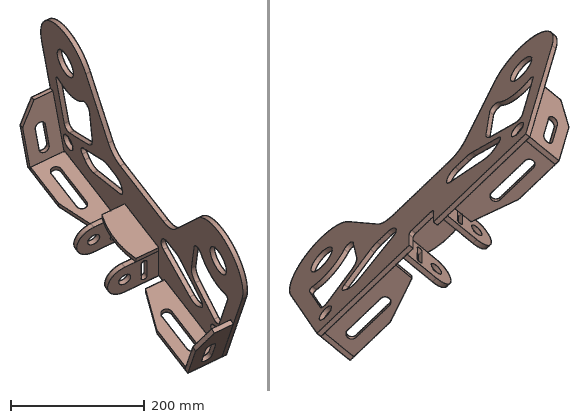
import cadquery as cq
import math

sheet = 8.0
overall_width = 583.0
overall_depth = 98.0
foot_half_width = 231.0

lobe_radius = 71.0
lobe_x = overall_width / 2 - lobe_radius
lobe_z = 222.0
lobe_hole_radius = 23.5

valley_z = 146.0
valley_radius = 41.0
valley_flat_half = 62.5

small_hole_x = 212.0
small_hole_z = 39.5
small_hole_radius = 13.5
notch_half_width = 27.0
notch_height = 40.0
notch_radius = 6.0
window_arc_radius = 62.5
window_tip = (161.5, 179.0)
window_shoulder = (242.0, 158.0)
window_foot_corner = (213.5, 76.5, 10.5)
window_inner_corner = (166.0, 118.0, 23.5)
lower_window_corners = [
    (148.0, 68.0, 24.5),
    (165.0, 63.5, 10.0),
    (98.0, 79.5, 29.0),
    (75.0, 89.0, 19.0),
    (66.0, 87.0, 10.0),
]

clevis_half_width = 49.0
lug_height = 60.0
lug_radius = lug_height / 2
lug_thickness = 9.0
lug_eye_depth = overall_depth - sheet - lug_radius
lug_eye_radius = 10.5
lug_slot_width = 10.0
lug_slot_length = 44.5
lug_slot_depth = 25.5
lug_slot_z = 30.5
cover_edge_depth = 40.0
cover_middle_depth = 48.0

flange_depth = lug_eye_depth
flange_end_depth = 33.0
side_flange_length = 120.0
side_flange_straight = 80.5
foot_flange_end_x = 65.5
foot_flange_chamfer_x = 141.5
slot_width = 17.5
slot_depth = 31.0
side_slot_length = 57.0
side_slot_centre = 46.5
foot_slot_length = 91.0
foot_slot_x = 159.0

foot_to_lobe = math.hypot(foot_half_width - lobe_x, lobe_z)
lean = math.asin(lobe_radius / foot_to_lobe) - math.atan2(foot_half_width - lobe_x, lobe_z)
side_reach = sheet / math.cos(lean)


def belt(circles, thickness):
    """Extrude, from Y = 0 to +Y, the outline that runs counter-clockwise round (x, z, radius) circles.

    Neighbouring circles are joined by their common tangent. A negative radius is passed on the
    outside, which makes a hollow, and a zero radius is a sharp corner.
    """
    def point(circle, heading):
        x, z, radius = circle
        return (x + radius * math.sin(heading), z - radius * math.cos(heading))

    headings = []
    for start, end in zip(circles, circles[1:] + circles[:1]):
        dx = end[0] - start[0]
        dz = end[1] - start[1]
        rise = (end[2] - start[2]) / math.hypot(dx, dz)
        headings.append(math.atan2(dz, dx) - math.asin(max(-1.0, min(1.0, rise))))

    touching = 5.83e-05
    position = point(circles[0], headings[-1])
    outline = cq.Workplane("XZ").moveTo(*position)
    for index, circle in enumerate(circles):
        entry = headings[index - 1]
        leave = headings[index]
        arrival = point(circle, entry)
        if math.dist(position, arrival) > touching:
            outline = outline.lineTo(*arrival)
        position = arrival
        if circle[2] != 0:
            turn = (leave - entry) % math.tau
            if circle[2] < 0:
                turn -= math.tau
            position = point(circle, leave)
            outline = outline.threePointArc(point(circle, entry + turn / 2), position)
    return outline.close().extrude(-thickness)


def mirrored(body):
    return body.mirror("YZ")


def upper_window():
    """Opening under the right lobe, bounded above by an arc concentric with the lobe."""
    lobe_centre = (lobe_x, lobe_z)
    tip_radius = math.dist(window_tip, lobe_centre) - window_arc_radius
    shoulder_radius = math.dist(window_shoulder, lobe_centre) - window_arc_radius
    return belt([
        window_foot_corner,
        (*window_shoulder, shoulder_radius),
        (*lobe_centre, -window_arc_radius),
        (*window_tip, tip_radius),
        window_inner_corner,
    ], sheet)


def lower_window():
    """Slanted rounded opening between the upper window and the foot."""
    return belt(lower_window_corners, sheet)


def make_plate():
    plate = belt([
        (-foot_half_width, 0, 0),
        (foot_half_width, 0, 0),
        (lobe_x, lobe_z, lobe_radius),
        (valley_flat_half, valley_z + valley_radius, -valley_radius),
        (-valley_flat_half, valley_z + valley_radius, -valley_radius),
        (-lobe_x, lobe_z, lobe_radius),
    ], sheet)
    for window in (upper_window(), lower_window()):
        plate = plate.cut(window).cut(mirrored(window))

    holes = (
        cq.Workplane("XZ")
        .pushPoints([(-lobe_x, lobe_z), (lobe_x, lobe_z)])
        .circle(lobe_hole_radius)
        .pushPoints([(-small_hole_x, small_hole_z), (small_hole_x, small_hole_z)])
        .circle(small_hole_radius)
        .extrude(-sheet)
    )
    notch = (
        cq.Workplane("XY")
        .box(2 * notch_half_width, sheet, notch_height, centered=(True, False, False))
        .edges("|Y and >Z")
        .fillet(notch_radius)
    )
    return plate.cut(holes).cut(notch)


def make_side_flange():
    """Flange on the right slanted side: outer face flush with the plate edge, foot cut level."""
    below_foot = -sheet
    flange = (
        cq.Workplane("YZ")
        .polyline([
            (0, below_foot),
            (-flange_depth, below_foot),
            (-flange_depth, side_flange_straight),
            (-flange_end_depth, side_flange_length),
            (0, side_flange_length),
        ])
        .close()
        .extrude(-sheet)
    )
    slot = (
        cq.Workplane("YZ")
        .center(-slot_depth, side_slot_centre)
        .slot2D(side_slot_length, slot_width, 90)
        .extrude(-sheet)
    )
    flange = flange.cut(slot).rotate((0, 0, 0), (0, 1, 0), math.degrees(lean))
    ground_size = 2 * side_flange_length
    ground = cq.Workplane("XY").box(ground_size, ground_size, ground_size).translate((0, 0, -ground_size / 2))
    return flange.cut(ground).translate((foot_half_width, 0, 0))


def make_foot_flange():
    """Flange on the right half of the foot, square-ended where the side flange meets Z = 0."""
    length = foot_half_width - side_reach - foot_flange_end_x
    flange = (
        cq.Workplane("XY")
        .box(length, flange_depth, sheet, centered=False)
        .translate((foot_flange_end_x, -flange_depth, 0))
    )
    chamfer = (
        cq.Workplane("XY")
        .polyline([
            (foot_flange_end_x, -flange_end_depth),
            (foot_flange_chamfer_x, -flange_depth),
            (foot_flange_end_x, -flange_depth),
        ])
        .close()
        .extrude(sheet)
    )
    slot = (
        cq.Workplane("XY")
        .center(foot_slot_x, -slot_depth)
        .slot2D(foot_slot_length, slot_width)
        .extrude(sheet)
    )
    return flange.cut(chamfer).cut(slot)


def make_lug():
    """Right clevis lug: round-ended cheek with an eye and an upright slot."""
    lug = (
        cq.Workplane("YZ")
        .lineTo(-lug_eye_depth, 0)
        .threePointArc((-lug_eye_depth - lug_radius, lug_radius), (-lug_eye_depth, lug_height))
        .lineTo(0, lug_height)
        .close()
        .extrude(-lug_thickness)
    )
    eye = cq.Workplane("YZ").center(-lug_eye_depth, lug_radius).circle(lug_eye_radius).extrude(-lug_thickness)
    slot = (
        cq.Workplane("YZ")
        .center(-lug_slot_depth, lug_slot_z)
        .slot2D(lug_slot_length, lug_slot_width, 90)
        .extrude(-lug_thickness)
    )
    return lug.cut(eye).cut(slot).translate((clevis_half_width, 0, 0))


def make_cover():
    """Sheet lying on both lugs, with a bowed front edge."""
    return (
        cq.Workplane("XY", origin=(0, 0, lug_height))
        .moveTo(-clevis_half_width, 0)
        .lineTo(-clevis_half_width, -cover_edge_depth)
        .threePointArc((0, -cover_middle_depth), (clevis_half_width, -cover_edge_depth))
        .lineTo(clevis_half_width, 0)
        .close()
        .extrude(sheet)
    )


bodies = [make_plate().val(), make_cover().val()]
for make_right_body in (make_side_flange, make_foot_flange, make_lug):
    right_body = make_right_body()
    bodies += [right_body.val(), mirrored(right_body).val()]

result = cq.Compound.makeCompound(bodies)